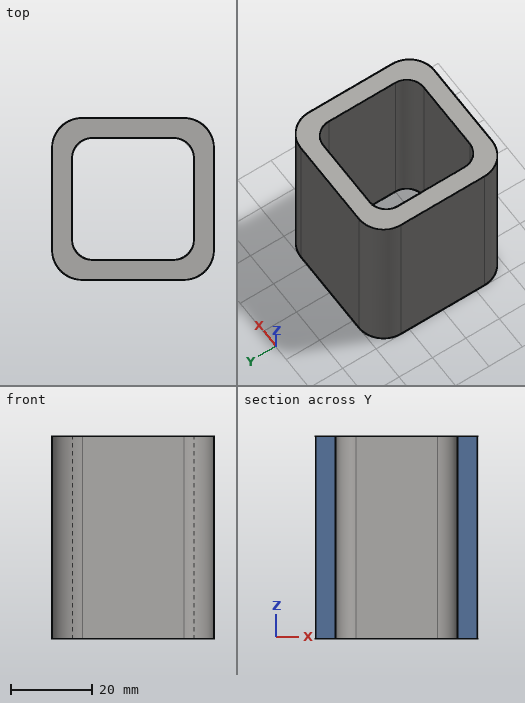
import cadquery as cq

height = 50.0
outer_width = 40.0
wall = 5.0
outer_radius = 7.5
inner_radius = 5.0
inner_width = outer_width - 2 * wall


def rounded_square_prism(width, corner_radius):
    """Upright square prism, centred on Z, with its vertical edges rounded."""
    prism = cq.Workplane("XY").rect(width, width).extrude(height)
    return prism.edges("|Z").fillet(corner_radius)


body = rounded_square_prism(outer_width, outer_radius)
bore = rounded_square_prism(inner_width, inner_radius)

result = body.cut(bore)